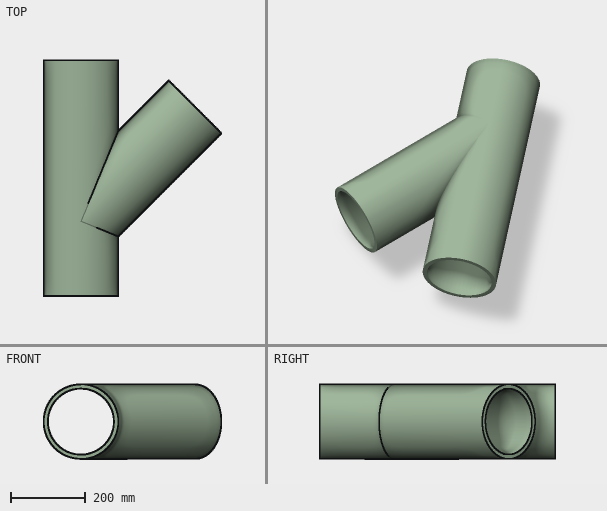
import cadquery as cq

outer_diameter = 200.0
wall = 12.0
run_length = 630.0
branch_length = 431.0
branch_angle = 45.0
junction_distance = 200.5

outer_radius = outer_diameter / 2
bore_radius = outer_radius - wall


def run_cylinder(radius):
    """Straight run along Y, with the axes meeting at the origin."""
    start = cq.Vector(0, -junction_distance, 0)
    return cq.Workplane(cq.Solid.makeCylinder(radius, run_length, start, cq.Vector(0, 1, 0)))


def branch_cylinder(radius):
    """Branch from the origin, leaning from +Y towards +X."""
    along_run = cq.Workplane(
        cq.Solid.makeCylinder(radius, branch_length, cq.Vector(0, 0, 0), cq.Vector(0, 1, 0))
    )
    return along_run.rotate((0, 0, 0), (0, 0, 1), -branch_angle)


def wye(radius):
    """Run and branch of one radius, joined."""
    return run_cylinder(radius).union(branch_cylinder(radius))


result = wye(outer_radius).cut(wye(bore_radius))